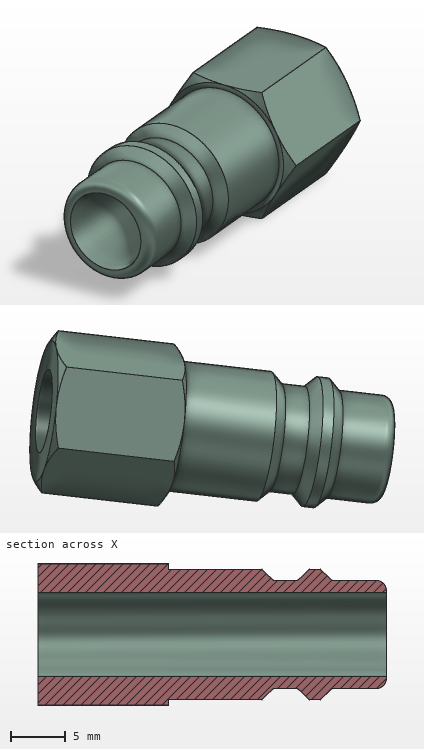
import cadquery as cq
import math

total_length = 32.0
hex_length = 12.0
hex_across_flats = 13.0
hex_chamfer_angle = 30.0

body_radius = 6.0
neck_radius = 5.0
bore_radius = 3.85
tip_fillet = 1.0

collar_start = 5.02
groove_end = 10.4
collar_land = 1.02
groove_width = 2.25
cone_length = (groove_end - collar_start - collar_land - groove_width) / 2
hex_start = total_length - hex_length


def turned_plug():
    """Tip, locking collar, groove and rear body as one revolved profile."""
    land_start = collar_start + cone_length
    land_end = land_start + collar_land
    groove_start = land_end + cone_length
    body_start = groove_end + cone_length
    profile = (
        cq.Workplane("XY")
        .lineTo(neck_radius, 0)
        .lineTo(neck_radius, collar_start)
        .lineTo(body_radius, land_start)
        .lineTo(body_radius, land_end)
        .lineTo(neck_radius, groove_start)
        .lineTo(neck_radius, groove_end)
        .lineTo(body_radius, body_start)
        .lineTo(body_radius, hex_start)
        .lineTo(0, hex_start)
        .close()
    )
    plug = profile.revolve(360, (0, 0, 0), (0, 1, 0))
    return plug.faces("<Y").edges().fillet(tip_fillet)


def hexagon():
    """Hexagon with corners on the X axis, both ends chamfered by cones."""
    flat_radius = hex_across_flats / 2
    corner_radius = flat_radius / math.cos(math.pi / 6)
    chamfer_depth = (corner_radius - flat_radius) * math.tan(math.radians(hex_chamfer_angle))
    prism = (
        cq.Workplane("XZ", origin=(0, total_length, 0))
        .polygon(6, 2 * corner_radius)
        .extrude(hex_length)
    )
    envelope = (
        cq.Workplane("XY")
        .moveTo(0, hex_start)
        .lineTo(flat_radius, hex_start)
        .lineTo(corner_radius, hex_start + chamfer_depth)
        .lineTo(corner_radius, total_length - chamfer_depth)
        .lineTo(flat_radius, total_length)
        .lineTo(0, total_length)
        .close()
        .revolve(360, (0, 0, 0), (0, 1, 0))
    )
    return prism.intersect(envelope)


bore = cq.Workplane("XZ").circle(bore_radius).extrude(-total_length)

result = turned_plug().union(hexagon()).cut(bore)